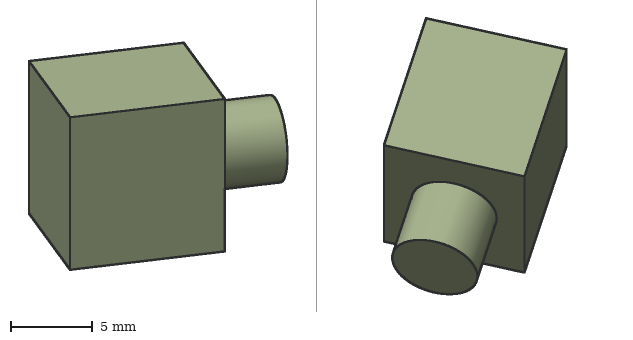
import cadquery as cq

total_length = 14.34
body_width = 8.89
body_height = 10.17

neck_diameter = 5.39
neck_length = 4.5

body_length = total_length - neck_length

body = cq.Workplane("XY").box(body_width, body_length, body_height, centered=(True, False, True))

result = (
    body.faces(">Y")
    .workplane(centerOption="CenterOfMass")
    .circle(neck_diameter / 2)
    .extrude(neck_length)
)